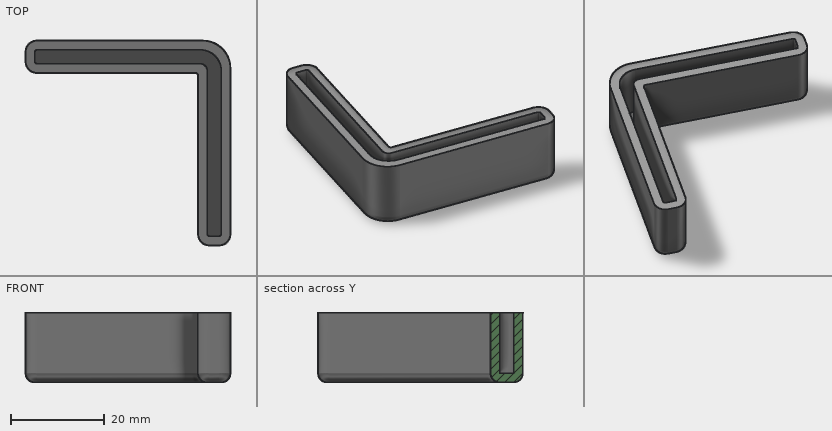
import cadquery as cq

leg_length = 44.0
height = 15.0
slot_width = 3.0
wall = 2.0
slot_end_radius = 0.5
slot_inner_bend = 1.5
crotch_radius = 0.5
body_outer_bend = 6.0
bottom_fillet = 2.0

body_width = slot_width + 2 * wall
body_end_radius = slot_end_radius + wall
slot_outer_bend = slot_inner_bend + slot_width


def angle_prism(inset, width, bottom, end_radius, inner_bend, outer_bend):
    """L-shaped prism up to the top face, its outline set in from the overall square.

    The legs run along the +Y and +X sides of a square centred on the Z axis.
    """
    far = leg_length / 2 - inset
    near = far - width
    outline = [(-far, far), (far, far), (far, -far), (near, -far), (near, near), (-far, near)]
    prism = (
        cq.Workplane("XY")
        .workplane(offset=bottom)
        .polyline(outline)
        .close()
        .extrude(height - bottom)
    )
    vertical_edges = sorted(
        prism.edges("|Z").vals(),
        key=lambda edge: edge.Center().x + edge.Center().y,
    )
    *leg_end_edges, inner_edge, outer_edge = vertical_edges
    prism = prism.newObject(leg_end_edges).fillet(end_radius)
    prism = prism.newObject([inner_edge]).fillet(inner_bend)
    return prism.newObject([outer_edge]).fillet(outer_bend)


def make_body():
    """Solid angle with its whole lower rim rounded."""
    body = angle_prism(0, body_width, 0, body_end_radius, crotch_radius, body_outer_bend)
    return body.faces("<Z").edges().fillet(bottom_fillet)


def make_slot():
    """Pocket that leaves an even wall and floor and is open at the top."""
    return angle_prism(wall, slot_width, wall, slot_end_radius, slot_inner_bend, slot_outer_bend)


result = make_body().cut(make_slot())